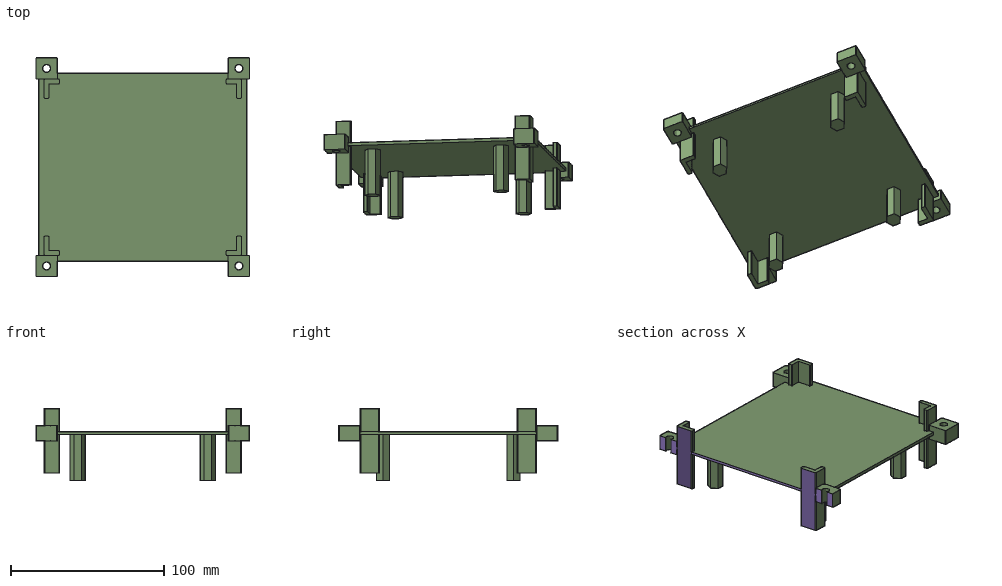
import cadquery as cq
overall_x = 139.5
overall_y = 143.0

plate_x = 136.0
plate_y = 122.8
plate_thickness = 2.0

lug_side = 14.0
lug_height = 10.0
lug_chamfer = 0.5
lug_hole_diameter = 5.0

standoff_across_corners = 10.0
standoff_length = 30.0
standoff_spacing = 85.1

post_leg_x = 10.0
post_leg_y = 12.6
post_wall = 3.0
post_height = 42.0
post_above_plate = 15.0
post_chamfer = 0.5
post_inset = 5.5

lug_centre_x = (overall_x - lug_side) / 2
lug_centre_y = (overall_y - lug_side) / 2
post_outer_x = overall_x / 2 - post_inset
post_outer_y = overall_y / 2 - lug_side
post_bottom_z = plate_thickness / 2 + post_above_plate - post_height

corner_signs = [(x_sign, y_sign) for x_sign in (-1, 1) for y_sign in (-1, 1)]


def mirror_to_corner(body, x_sign, y_sign):
    """Mirror a body of the +X +Y corner into the corner with the given signs."""
    if x_sign < 0:
        body = body.mirror("YZ")
    if y_sign < 0:
        body = body.mirror("XZ")
    return body


def make_lug():
    """Drilled square lug of the +X +Y corner with chamfered upright edges."""
    return (
        cq.Workplane("XY")
        .box(lug_side, lug_side, lug_height)
        .edges("|Z")
        .chamfer(lug_chamfer)
        .faces(">Z")
        .workplane()
        .hole(lug_hole_diameter)
        .translate((lug_centre_x, lug_centre_y, 0))
    )


def make_standoff():
    """Hexagonal standoff of the +X +Y corner, hanging from the plate."""
    return (
        cq.Workplane("XY", origin=(0, 0, -plate_thickness / 2))
        .center(standoff_spacing / 2, standoff_spacing / 2)
        .polygon(6, standoff_across_corners)
        .extrude(-standoff_length)
    )


def make_post_leg(length_x, length_y):
    """Upright wall whose outer corner is the outer corner of the post."""
    return (
        cq.Workplane("XY")
        .box(length_x, length_y, post_height, centered=False)
        .translate((post_outer_x - length_x, post_outer_y - length_y, post_bottom_z))
    )


def make_post():
    """L-shaped post of the +X +Y corner, chamfered on its outside upright edges."""
    leg_along_x = make_post_leg(post_leg_x, post_wall).edges("|Z and <X").chamfer(post_chamfer)
    leg_along_y = make_post_leg(post_wall, post_leg_y).edges("|Z and <Y").chamfer(post_chamfer)
    post = leg_along_x.union(leg_along_y)
    return post.edges("|Z").edges(">X").edges(">Y").chamfer(post_chamfer)


corner_post = make_post()
posts = [mirror_to_corner(corner_post, x_sign, y_sign) for x_sign, y_sign in corner_signs]

tray = cq.Workplane("XY").box(plate_x, plate_y, plate_thickness)
corner_lug = make_lug()
corner_standoff = make_standoff()
for x_sign, y_sign in corner_signs:
    tray = tray.union(mirror_to_corner(corner_lug, x_sign, y_sign))
    tray = tray.union(mirror_to_corner(corner_standoff, x_sign, y_sign))
for post in posts:
    tray = tray.cut(post)

result = cq.Compound.makeCompound([tray.val(), *[post.val() for post in posts]])